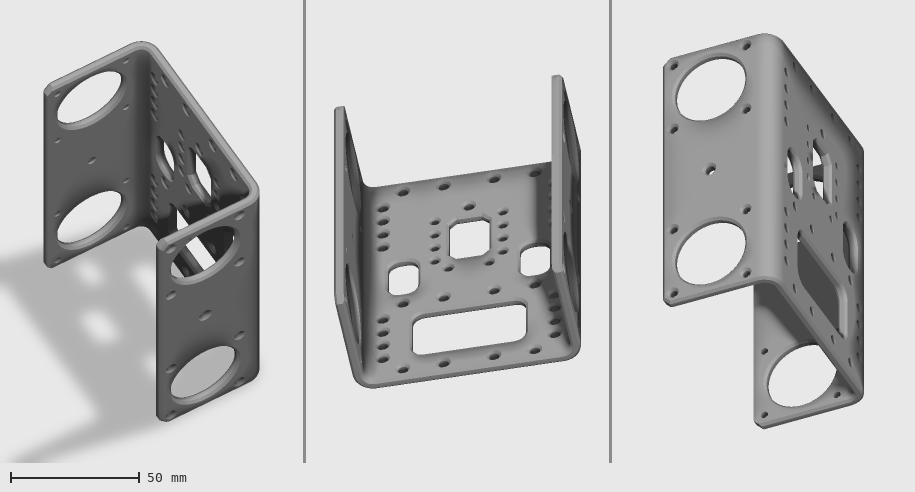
import cadquery as cq

width = 90.0
depth = 48.0
height = 120.0
thickness = 4.0
bend_radius = 8.0
flange_corner = 3.0
edge_chamfer = 1.0

large_hole = 4.0
small_hole = 3.0
countersink_angle = 90
column_span = 24.0
column_count = 4

bay_z = 34.0
row_offset = 20.0
row_x_inner = 10.0
row_x_outer = 26.0
side_column_x = 34.0

window_width = 16.0
window_height = 24.0
window_corner = 3.0
window_z = 21.0
window_column_x = 13.5
hole_above_window_z = 39.5
pair_below_window_x = 8.0
pair_below_window_z = 3.5

slot_width = 12.0
slot_height = 20.0
slot_z = 2.0
lower_opening_width = 45.0
lower_opening_height = 25.0
opening_radius = 5.0

free_edge_to_hole = 20.0
flange_hole_y = free_edge_to_hole - depth / 2
flange_opening = 30.0
flange_opening_z = 40.0
screw_offset = 15.5

plate_front_y = depth / 2 - thickness


def channel():
    """U-shaped channel with rounded bends and cut flange corners."""
    body = cq.Workplane("XY").box(width, depth, height)
    body = body.edges("|Z and >Y").fillet(bend_radius)
    cavity = (
        cq.Workplane("XY")
        .box(width - 2 * thickness, depth, height)
        .edges("|Z and >Y")
        .fillet(bend_radius - thickness)
        .translate((0, -thickness, 0))
    )
    return body.cut(cavity).edges("|X and <Y").chamfer(flange_corner)


def chamfer_outer_rim(body):
    """Bevel the outside rim, around both flanges and across the back."""
    return body.faces("<X or >X").edges("not >Y").chamfer(edge_chamfer)


def nearest_face(body, x, y):
    """Face whose middle is closest to the given place at mid height."""
    return body.faces(cq.selectors.NearestToPointSelector((x, y, 0)))


def chamfer_inner_rim(body):
    """Bevel the top and bottom inside edges, which run on through the bends."""
    rims = nearest_face(body, 0, plate_front_y).edges("|X").edges("<Z or >Z")
    return rims.chamfer(edge_chamfer)


def chamfer_openings(body, faces):
    """Bevel the edge of every opening in the given faces."""
    edges = [edge for face in faces for wire in face.innerWires() for edge in wire.Edges()]
    return body.newObject(edges).chamfer(edge_chamfer)


def plate_plane():
    """Work plane on the front of the back plate: X right, Z up."""
    return cq.Workplane("XZ", origin=(0, plate_front_y, 0))


def flange_plane(side):
    """Work plane on the outer face of one flange, its local x running along Y."""
    plane = cq.Plane(origin=(side * width / 2, 0, 0), xDir=(0, 1, 0), normal=(side, 0, 0))
    return cq.Workplane(plane)


def plate_plug(opening_width, opening_height, x, z):
    """Cutter for one opening, with the edges of its four corners selected."""
    return plate_plane().center(x, z).rect(opening_width, opening_height).extrude(-thickness).edges("|Y")


def add_plate_openings(body):
    """Window, two slots and the lower opening, bevelled on both faces."""
    window = plate_plug(window_width, window_height, 0, window_z).chamfer(window_corner)
    lower = plate_plug(lower_opening_width, lower_opening_height, 0, -bay_z).fillet(opening_radius)
    body = body.cut(window).cut(lower)
    for x in (-row_x_outer, row_x_outer):
        slot = plate_plug(slot_width, slot_height, x, slot_z).fillet(opening_radius)
        body = body.cut(slot)
    return chamfer_openings(body, nearest_face(body, 0, plate_front_y).vals() + body.faces(">Y").vals())


def add_flange_openings(body):
    """Two large round openings in each flange, bevelled on both faces."""
    points = [(flange_hole_y, -flange_opening_z), (flange_hole_y, flange_opening_z)]
    for side in (-1, 1):
        plugs = flange_plane(side).pushPoints(points).circle(flange_opening / 2).extrude(-thickness)
        body = body.cut(plugs)
    faces = body.faces("<X or >X").vals()
    for side in (-1, 1):
        faces += nearest_face(body, side * (width / 2 - thickness), flange_hole_y).vals()
    return chamfer_openings(body, faces)


def drill(body, plane, points, diameter):
    """Through holes in one wall, countersunk by the bevel size on the side of the work plane."""
    return (
        body.copyWorkplane(plane)
        .pushPoints(points)
        .cskHole(diameter, diameter + 2 * edge_chamfer, countersink_angle, depth=thickness)
    )


def column_heights(middle):
    pitch = column_span / (column_count - 1)
    return [middle - column_span / 2 + i * pitch for i in range(column_count)]


def drill_plate(body):
    row_heights = [bay_z + row_offset, -bay_z + row_offset, -bay_z - row_offset]
    large_points = [(0, hole_above_window_z)]
    small_points = []
    for side in (-1, 1):
        large_points += [(side * x, z) for x in (row_x_inner, row_x_outer) for z in row_heights]
        for middle in (-bay_z, bay_z):
            large_points += [(side * side_column_x, z) for z in column_heights(middle)]
        small_points += [(side * window_column_x, z) for z in column_heights(window_z)]
        small_points.append((side * pair_below_window_x, pair_below_window_z))
    body = drill(body, plate_plane(), large_points, large_hole)
    return drill(body, plate_plane(), small_points, small_hole)


def drill_flanges(body):
    """Screw holes around each round opening and one hole at mid height, sunk from outside."""
    screw_points = [
        (flange_hole_y + dy, z + dz)
        for z in (-flange_opening_z, flange_opening_z)
        for dy in (-screw_offset, screw_offset)
        for dz in (-screw_offset, screw_offset)
    ]
    for side in (-1, 1):
        body = drill(body, flange_plane(side), screw_points, small_hole)
        body = drill(body, flange_plane(side), [(flange_hole_y, 0)], large_hole)
    return body


result = channel()
result = chamfer_outer_rim(result)
result = chamfer_inner_rim(result)
result = add_plate_openings(result)
result = add_flange_openings(result)
result = drill_plate(result)
result = drill_flanges(result)